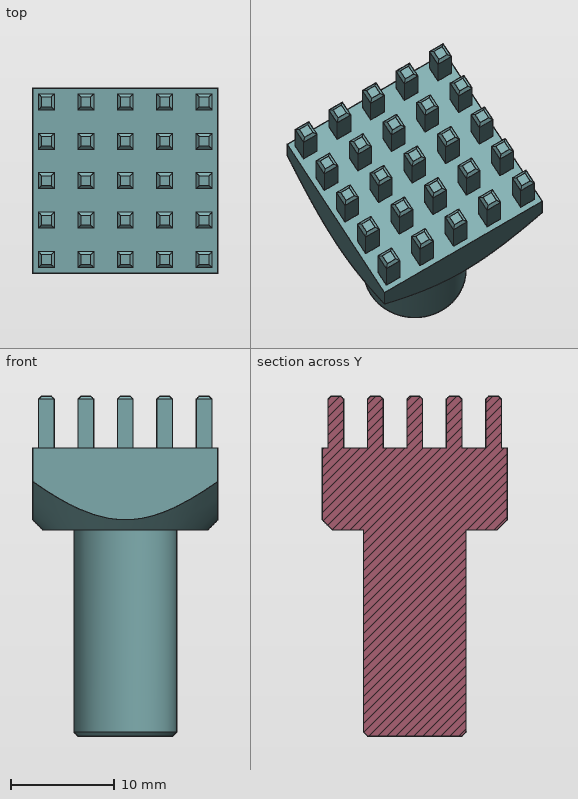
import cadquery as cq

total_height = 33.0
shank_length = 20.0
head_height = 8.0
head_top = shank_length + head_height
pin_height = total_height - head_top

shank_diameter = 10.0
shank_chamfer = 0.4

head_width = 18.0
cone_base_radius = 8.0

pins_per_side = 5
pin_width = 1.55
pin_pitch = 3.83
pin_chamfer = 0.3


def make_shank():
    shank = cq.Workplane("XY").circle(shank_diameter / 2).extrude(shank_length)
    return shank.faces("<Z").chamfer(shank_chamfer)


def make_head():
    block = (
        cq.Workplane("XY")
        .workplane(offset=shank_length)
        .rect(head_width, head_width)
        .extrude(head_height)
    )
    cone_top_radius = cone_base_radius + head_height
    cone = (
        cq.Workplane("XZ")
        .moveTo(0, shank_length)
        .lineTo(cone_base_radius, shank_length)
        .lineTo(cone_top_radius, head_top)
        .lineTo(0, head_top)
        .close()
        .revolve(360, (0, 0, 0), (0, 1, 0))
    )
    return block.intersect(cone)


def make_pins():
    return (
        cq.Workplane("XY")
        .workplane(offset=head_top)
        .rarray(pin_pitch, pin_pitch, pins_per_side, pins_per_side)
        .rect(pin_width, pin_width)
        .extrude(pin_height)
        .faces(">Z")
        .chamfer(pin_chamfer)
    )


result = make_shank().union(make_head()).union(make_pins())